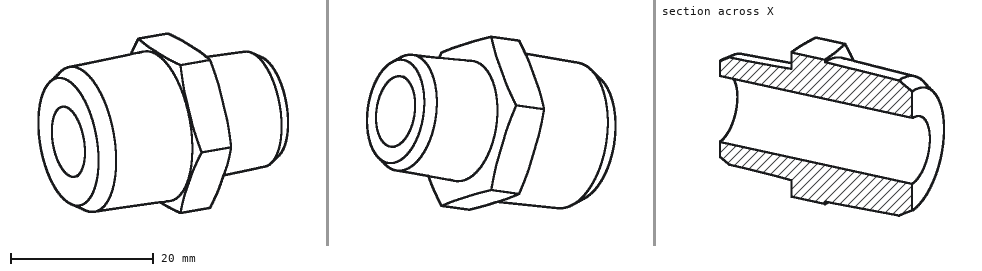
import cadquery as cq
import math

total_length = 31.0
large_bevel_length = 2.15
hex_start = 14.05
hex_end = 19.5
small_bevel_length = 1.52

large_tip_radius = 9.08
large_taper_radius = 10.32
large_root_radius = 10.65
small_root_radius = 8.52
small_taper_radius = 8.2
small_tip_radius = 7.32

bore_diameter = 9.98

across_flats = 22.0
across_corners = across_flats / math.cos(math.radians(30))
corner_radius = across_corners / 2
hex_bevel_radius = 11.28
hex_bevel_angle = 15.0
hex_bevel_depth = (corner_radius - hex_bevel_radius) * math.tan(math.radians(hex_bevel_angle))


def revolve_about_y(points):
    """Turn an outline of (radius, y) points around the Y axis."""
    return cq.Workplane("XY").polyline(points).close().revolve(360, (0, 0, 0), (0, 1, 0))


def hexagon():
    """Hexagonal collar with conical bevels on the corners of both faces."""
    prism = (
        cq.Workplane("XZ", origin=(0, hex_start, 0))
        .polygon(6, across_corners)
        .extrude(-(hex_end - hex_start))
    )
    bevel_envelope = revolve_about_y([
        (0, hex_start),
        (hex_bevel_radius, hex_start),
        (corner_radius, hex_start + hex_bevel_depth),
        (corner_radius, hex_end - hex_bevel_depth),
        (hex_bevel_radius, hex_end),
        (0, hex_end),
    ])
    return prism.intersect(bevel_envelope)


def tapered_ends():
    """Large and small tapered ends, each bevelled at its tip."""
    return revolve_about_y([
        (0, 0),
        (large_tip_radius, 0),
        (large_taper_radius, large_bevel_length),
        (large_root_radius, hex_start),
        (small_root_radius, hex_end),
        (small_taper_radius, total_length - small_bevel_length),
        (small_tip_radius, total_length),
        (0, total_length),
    ])


def bore():
    """Straight passage through the whole length."""
    return cq.Workplane("XZ").circle(bore_diameter / 2).extrude(-total_length)


result = tapered_ends().union(hexagon()).cut(bore())